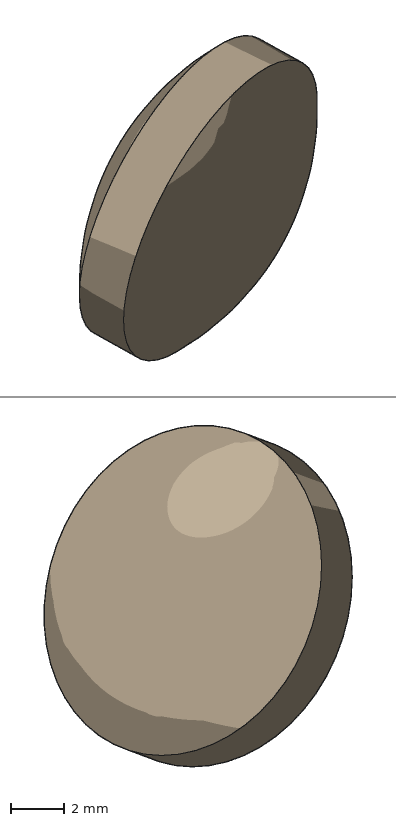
import cadquery as cq

diameter = 12.7
center_thickness = 6.26
edge_thickness = 2.03

rim_radius = diameter / 2
half_center = center_thickness / 2
half_edge = edge_thickness / 2

cap_height = half_center - half_edge
sphere_radius = (rim_radius**2 + cap_height**2) / (2 * cap_height)


def lens_half_section():
    """Closed half section on the -Y side of the optical axis, in the XY plane."""
    return (
        cq.Workplane("XY")
        .moveTo(-half_center, 0)
        .radiusArc((-half_edge, -rim_radius), -sphere_radius)
        .lineTo(half_edge, -rim_radius)
        .radiusArc((half_center, 0), -sphere_radius)
        .close()
    )


result = lens_half_section().revolve(360, (0, 0, 0), (1, 0, 0))